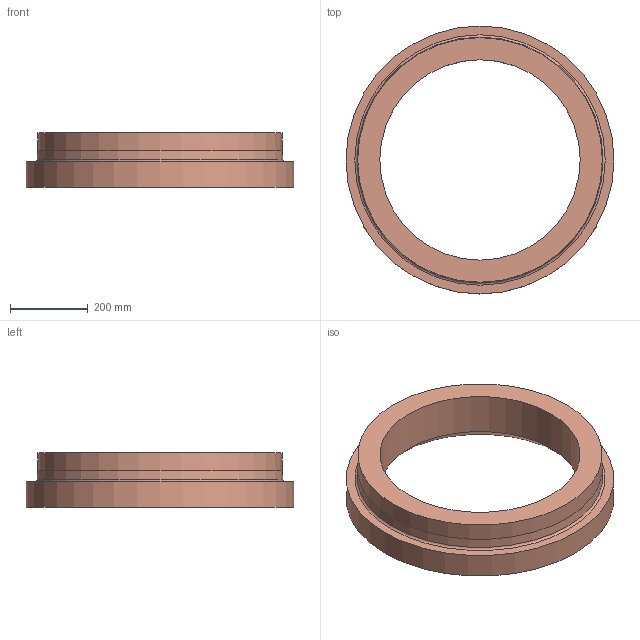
import cadquery as cq
import math

total_height = 140.0
flange_height = 65.0
cone_top_height = 95.0

flange_radius = 345.0
bore_radius = 258.0
spigot_radius = 315.0

neck_taper_angle = 3.6
neck_fillet_radius = 6.0

chamfer_size = 30.0
chamfer_radius = bore_radius + chamfer_size


def ring_section():
    """Half section of the ring in the XZ plane, with the neck fillet tangent to cone and flange."""
    taper = math.radians(neck_taper_angle)
    fillet_center_height = flange_height + neck_fillet_radius
    fillet_start_height = fillet_center_height - neck_fillet_radius * math.sin(taper)
    fillet_start_radius = spigot_radius + (cone_top_height - fillet_start_height) * math.tan(taper)
    fillet_center_radius = fillet_start_radius + neck_fillet_radius * math.cos(taper)

    middle_angle = (taper + math.pi / 2) / 2
    fillet_middle = (
        fillet_center_radius - neck_fillet_radius * math.cos(middle_angle),
        fillet_center_height - neck_fillet_radius * math.sin(middle_angle),
    )

    return (
        cq.Workplane("XZ")
        .moveTo(chamfer_radius, 0)
        .lineTo(flange_radius, 0)
        .lineTo(flange_radius, flange_height)
        .lineTo(fillet_center_radius, flange_height)
        .threePointArc(fillet_middle, (fillet_start_radius, fillet_start_height))
        .lineTo(spigot_radius, cone_top_height)
        .lineTo(spigot_radius, total_height)
        .lineTo(bore_radius, total_height)
        .lineTo(bore_radius, chamfer_size)
        .close()
    )


result = ring_section().revolve(360, (0, 0, 0), (0, 1, 0))